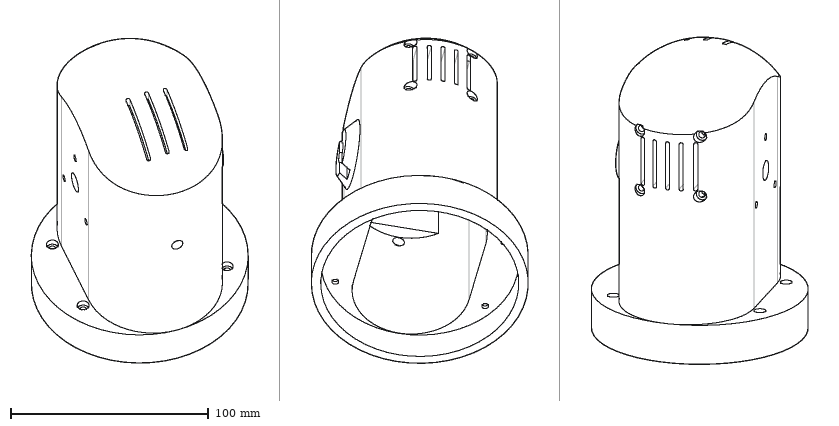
import cadquery as cq

height = 152.5
base_diameter = 110.0
base_height = 21.0
body_width = 70.0
wall = 5.0

pad_bottom_z = 87.8
pad_gap = 86.0

base_recess_diameter = 100.3
base_plate_thickness = 5.0

dome_swing_radius = 66.3
dome_arc_radius = 46.0

screw_hole_diameter = 3.4
counterbore_diameter = 6.0
base_counterbore_depth = 3.0
side_counterbore_depth = 3.4
base_screw_x = 22.4
base_screw_y = 38.9

vent_center_z = 106.0
vent_screw_pitch = 32.0
vent_slot_length = 25.9
vent_slot_width = 2.0
vent_slot_spacing = 7.0
vent_slot_count = 5

dome_slot_length = 32.0
dome_slot_width = 2.0
dome_slot_center_x = 25.0
dome_slot_spacing = 10.0
dome_slot_count = 3

bore_diameter = 10.0
bore_z = 88.5
mount_top_z = 106.5
mount_low_z = 75.5
mount_low_x = 16.0
boss_base_diameter = 36.0
boss_tip_diameter = 24.0
boss_height = 6.0
boss_slot_width = 6.5
boss_slot_depth = 4.0

cable_hole_diameter = 6.0
cable_hole_z = 84.5

base_radius = base_diameter / 2
half_width = body_width / 2


def rounded_column(inset):
    """Flat-sided column with round ends under a dome, shrunk inward by the inset."""
    length = base_diameter - 2 * inset
    width = body_width - 2 * inset
    column = cq.Workplane("XY").slot2D(length, width).extrude(height)

    swing = dome_swing_radius - inset
    arc = dome_arc_radius - inset
    axis_z = height - dome_swing_radius
    arc_center_z = height - dome_arc_radius
    half = width / 2
    edge_z = arc_center_z + (arc**2 - half**2) ** 0.5
    dome = (
        cq.Workplane("YZ")
        .moveTo(-half, axis_z)
        .lineTo(-half, edge_z)
        .threePointArc((0, axis_z + swing), (half, edge_z))
        .lineTo(half, axis_z)
        .close()
        .revolve(360, (0, axis_z, 0), (1, axis_z, 0))
    )
    below_dome = cq.Workplane("XY").rect(length, width).extrude(axis_z)
    return column.intersect(dome.union(below_dome))


def rod(plane, origin, diameter, length):
    """Cylinder starting at the origin and running along the normal of the plane."""
    return cq.Workplane(plane, origin=origin).circle(diameter / 2).extrude(length)


def row(count, spacing):
    """Centered, evenly spaced positions."""
    return [(i - (count - 1) / 2) * spacing for i in range(count)]


boss = cq.Workplane("XZ", origin=(0, half_width, bore_z)).circle(boss_base_diameter / 2)
boss = boss.workplane(offset=-boss_height).circle(boss_tip_diameter / 2).loft()
boss_slot = cq.Workplane("XY").box(boss_slot_width, 2 * boss_slot_depth, boss_base_diameter)
boss = boss.cut(boss_slot.translate((0, half_width + boss_height, bore_z)))

base = cq.Workplane("XY").circle(base_radius).extrude(base_height)
recess_depth = base_height - base_plate_thickness
recess = cq.Workplane("XY").circle(base_recess_diameter / 2).extrude(recess_depth)
shell = base.union(rounded_column(0)).union(boss)
below_pads = cq.Workplane("XY").rect(base_diameter, body_width).extrude(pad_bottom_z)
between_pads = cq.Workplane("XY").rect(pad_gap, body_width).extrude(height)
cavity = rounded_column(wall).intersect(below_pads.union(between_pads))
shell = shell.cut(recess).cut(cavity)

for x in (-base_screw_x, base_screw_x):
    for y in (-base_screw_y, base_screw_y):
        shell = shell.cut(rod("XY", (x, y, 0), screw_hole_diameter, base_height))
        seat_z = base_height - base_counterbore_depth
        shell = shell.cut(rod("XY", (x, y, seat_z), counterbore_diameter, base_counterbore_depth))

for y in row(vent_slot_count, vent_slot_spacing):
    vent_plane = cq.Workplane("YZ", origin=(-base_radius, y, vent_center_z))
    shell = shell.cut(vent_plane.slot2D(vent_slot_length, vent_slot_width, 90).extrude(base_radius))
for y in row(2, vent_screw_pitch):
    side_x = -(base_radius - half_width) - (half_width**2 - y**2) ** 0.5
    for dz in row(2, vent_screw_pitch):
        z = vent_center_z + dz
        shell = shell.cut(rod("YZ", (-base_radius, y, z), screw_hole_diameter, base_radius))
        seat_x = side_x + side_counterbore_depth
        shell = shell.cut(rod("YZ", (-base_radius, y, z), counterbore_diameter, seat_x + base_radius))

for y in row(dome_slot_count, dome_slot_spacing):
    slot_plane = cq.Workplane("XY", origin=(dome_slot_center_x, y, bore_z))
    shell = shell.cut(slot_plane.slot2D(dome_slot_length, dome_slot_width).extrude(height))

shell = shell.cut(rod("XZ", (0, base_radius, bore_z), bore_diameter, base_diameter))
for x, z in ((0, mount_top_z), (-mount_low_x, mount_low_z), (mount_low_x, mount_low_z)):
    shell = shell.cut(rod("XZ", (x, 0, z), screw_hole_diameter, base_radius))

result = shell.cut(rod("YZ", (0, 0, cable_hole_z), cable_hole_diameter, base_radius))